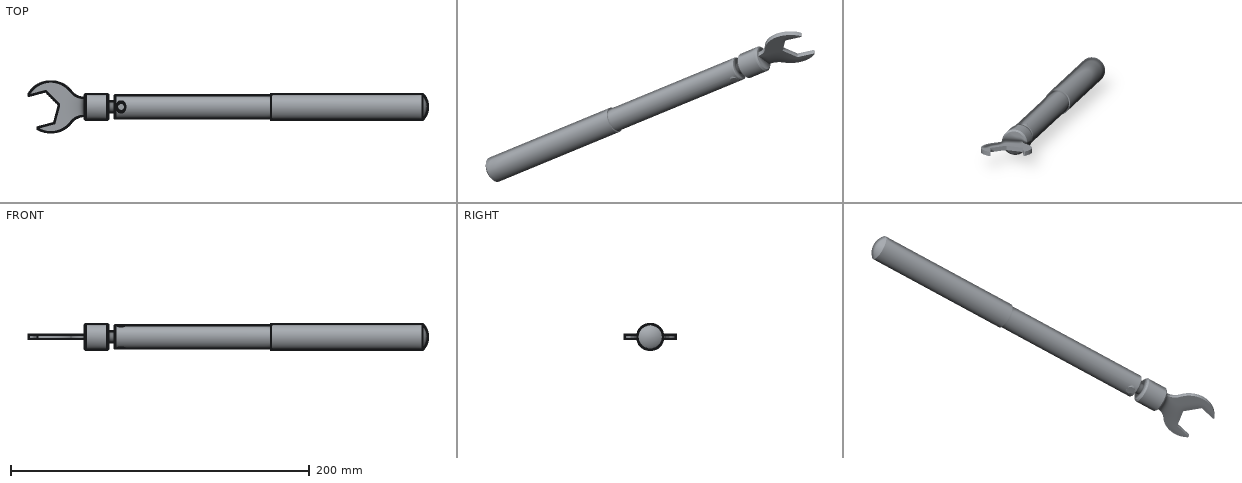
import cadquery as cq
import math


head_radius = 17.2
plate_thickness = 3.0
jaw_opening = 22.0
jaw_tilt = 15
hex_offset = 7.0
tip_setback = 12.3
shank_width = 12.3
shank_fillet = 10.7

collar_start = 22.5
collar_end = 38.9
tube_start = 43.0
grip_start = 147.7
dome_start = 249.2
grip_end = 253.0

collar_diameter = 17.5
collar_chamfer = 1.0
neck_diameter = 7.8
tube_diameter = 15.8
tube_chamfer = 0.5
grip_diameter = 17.5

pin_x = 47.2
pin_diameter = 7.2
pin_length = tube_diameter
pin_chamfer = 0.8


def rod(start, end, diameter):
    """Round bar on the X axis between two stations."""
    return cq.Workplane("YZ").workplane(offset=start).circle(diameter / 2).extrude(end - start)


def plate_blank():
    """Round head blended into the shank by two tangent concave arcs."""
    half_shank = shank_width / 2
    blend_y = half_shank + shank_fillet
    blend_x = math.sqrt((head_radius + shank_fillet) ** 2 - blend_y ** 2)
    blend_angle = math.atan2(blend_y, blend_x)
    head_x = head_radius * math.cos(blend_angle)
    head_y = head_radius * math.sin(blend_angle)
    middle_angle = (blend_angle + math.pi / 2) / 2
    middle_x = blend_x - shank_fillet * math.cos(middle_angle)
    middle_y = blend_y - shank_fillet * math.sin(middle_angle)
    return (
        cq.Workplane("XY")
        .workplane(offset=-plate_thickness / 2)
        .moveTo(head_x, head_y)
        .threePointArc((middle_x, middle_y), (blend_x, half_shank))
        .lineTo(collar_start, half_shank)
        .lineTo(collar_start, -half_shank)
        .lineTo(blend_x, -half_shank)
        .threePointArc((middle_x, -middle_y), (head_x, -head_y))
        .threePointArc((-head_radius, 0), (head_x, head_y))
        .close()
        .extrude(plate_thickness)
    )


def mouth_cutter():
    """Half-hexagon mouth with parallel jaws, plus the cut that squares off the jaw tips."""
    half_opening = jaw_opening / 2
    hex_side = jaw_opening / math.sqrt(3)
    outside = -2 * head_radius
    mouth = (
        cq.Workplane("XY")
        .polyline([
            (outside, half_opening),
            (-hex_offset + hex_side / 2, half_opening),
            (-hex_offset + hex_side, 0),
            (-hex_offset + hex_side / 2, -half_opening),
            (outside, -half_opening),
        ])
        .close()
        .extrude(plate_thickness, both=True)
    )
    tip_trim = (
        cq.Workplane("XY")
        .center((outside - tip_setback) / 2, 0)
        .rect(-outside - tip_setback, 2 * head_radius)
        .extrude(plate_thickness, both=True)
    )
    return mouth.union(tip_trim).rotate((0, 0, 0), (0, 0, 1), jaw_tilt)


def make_head():
    """Jaw plate, chamfered collar and the neck that meets the tube."""
    plate = plate_blank().cut(mouth_cutter())
    collar = rod(collar_start, collar_end, collar_diameter).faces("<X or >X").chamfer(collar_chamfer)
    neck = rod(collar_end, tube_start, neck_diameter)
    return plate.union(collar).union(neck)


def make_handle():
    """Tube, thicker domed grip and chamfered pivot pin."""
    tube = rod(tube_start, grip_start, tube_diameter).faces("<X").chamfer(tube_chamfer)
    grip_radius = grip_diameter / 2
    dome_height = grip_end - dome_start
    dome_radius = (grip_radius ** 2 + dome_height ** 2) / (2 * dome_height)
    dome_middle_angle = math.asin(grip_radius / dome_radius) / 2
    dome_middle = (
        grip_end - dome_radius * (1 - math.cos(dome_middle_angle)),
        dome_radius * math.sin(dome_middle_angle),
    )
    grip = (
        cq.Workplane("XY")
        .moveTo(grip_start, 0)
        .lineTo(grip_start, grip_radius)
        .lineTo(dome_start, grip_radius)
        .threePointArc(dome_middle, (grip_end, 0))
        .close()
        .revolve(360, (0, 0, 0), (1, 0, 0))
    )
    pin = (
        cq.Workplane("XY")
        .center(pin_x, 0)
        .circle(pin_diameter / 2)
        .extrude(pin_length / 2, both=True)
        .faces("<Z or >Z")
        .chamfer(pin_chamfer)
    )
    return tube.union(grip).union(pin)


head = make_head()
handle = make_handle()

result = cq.Compound.makeCompound([head.val(), handle.val()])